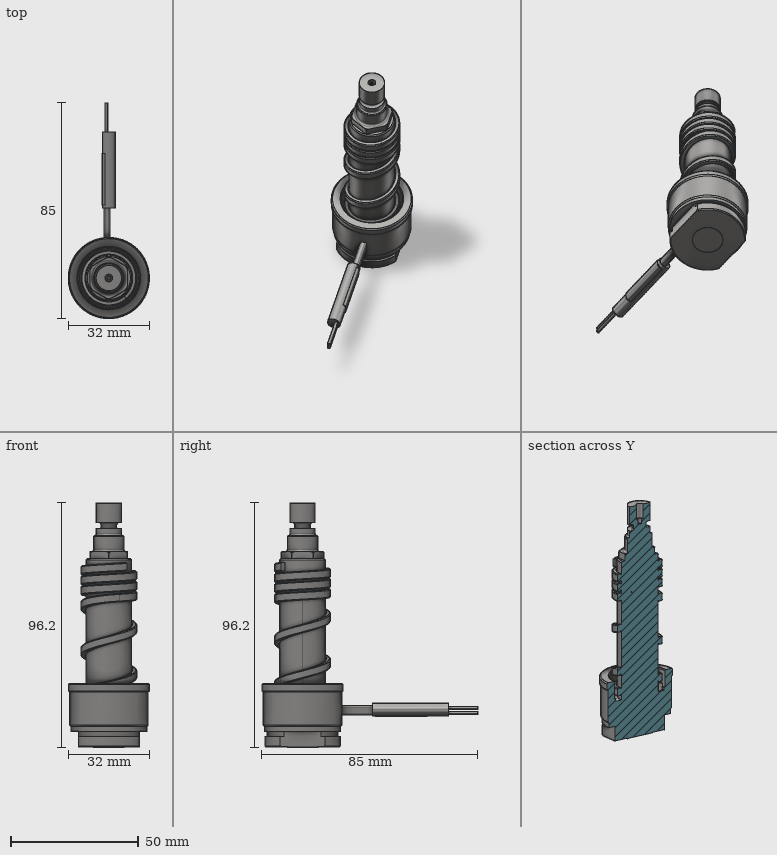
import cadquery as cq
import math

STEM_TOP = 96.2
NECK_TOP = 88.5
NECK_BOTTOM = 86.2
COLLAR_BOTTOM = 84.0
SHOULDER_BOTTOM = 77.1
HEX_BOTTOM = 74.3
CUP_TOP = 25.2
CUP_FLOOR = 16.8
RIM_BOTTOM = 22.3
DRUM_BOTTOM = 8.3
RING_BOTTOM = 6.3
FOOT_GROOVE_BOTTOM = 4.3
FOOT_BOTTOM = 0.2

HEAD_RADIUS = 5.0
NECK_RADIUS = 3.1
NECK_TOP_FILLET = 0.9
NECK_BOTTOM_FILLET = 0.3
COLLAR_FILLET = 0.6
SHOULDER_RADIUS = 6.0
SHOULDER_CHAMFER = 0.4
SHOULDER_FILLET = 0.8
HEX_ACROSS_FLATS = 14.7
HEX_CORNER_RADIUS = 8.4
HEX_CHAMFER = 0.4
TUBE_RADIUS = 9.0
TUBE_CHAMFER = 0.5
PORT_RADIUS = 1.5
PORT_DEPTH = 6.0
PILOT_RADIUS = 0.8
PILOT_DEPTH = 8.0

RIM_RADIUS = 16.0
RIM_CHAMFER = 0.5
DRUM_RADIUS = 15.5
DRUM_CHAMFER = 0.5
RING_RADIUS = 15.0
BORE_RADIUS = 12.1
SEAT_RADIUS = 11.6
SEAT_DEPTH = 1.0
BORE_CHAMFER = 0.4

FOOT_GROOVE_RADIUS = 14.0
FOOT_RADIUS = 14.9
FOOT_CHAMFER = 0.4
FOOT_FLAT_DISTANCE = 12.0
FOOT_BOSS_RADIUS = 6.0

SPRING_RADIUS = 11.0
ROOT_DEPTH = 0.5
SPRING_ROOT_RADIUS = TUBE_RADIUS - ROOT_DEPTH
STRIP_HEIGHT = 3.4
STRIP_CHAMFER = 0.4
OPEN_PITCH = 18.0
CLOSED_PITCH = 4.0
TRANSITION_TURN = 127.0
OPEN_START_ANGLE = -52.0
OPEN_END_ANGLE = 525.0
CLOSED_TOP_END_ANGLE = 1750.0
CLOSED_BOTTOM_TURN = 360.0
OPEN_START_HEIGHT = 26.2
DEGREES_PER_SPLINE_POINT = 15.0

LEAD_HEIGHT = 14.6
LEAD_OFFSET = -0.7
LEAD_START = 14.0
CABLE_WIDTH = 2.5
CABLE_HEIGHT = 3.8
CABLE_FILLET = 0.6
SLEEVE_RADIUS = 2.58
SLEEVE_HEIGHT = 14.9
SLEEVE_START = 27.5
SLEEVE_LENGTH = 30.0
COMPONENT_START = 28.8
COMPONENT_LENGTH = 20.2
COMPONENT_HEIGHT = 4.8
COMPONENT_LEFT = -2.6
COMPONENT_RIGHT = 0.6
COMPONENT_FILLET = 1.15
WIRE_RADIUS = 0.6
WIRE_SPACING = 2.0
WIRE_OFFSET = -1.0
WIRE_END = 69.0


def disc(radius, bottom, top):
    """Upright cylinder on the stem axis."""
    return cq.Workplane("XY").workplane(offset=bottom).circle(radius).extrude(top - bottom)


def flare(radius, seat, size, direction):
    """Concave fillet ring around a cylinder, from a seat face up (1) or down (-1) the axis."""
    end = seat + direction * size
    reach = size * math.sqrt(0.5)
    return (
        cq.Workplane("XZ")
        .moveTo(0, seat)
        .lineTo(radius + size, seat)
        .threePointArc((radius + size - reach, end - direction * reach), (radius, end))
        .lineTo(0, end)
        .close()
        .revolve(360, (0, 0), (0, 1))
    )


def make_port():
    """Blind stepped hole in the top of the stem."""
    port = disc(PORT_RADIUS, STEM_TOP - PORT_DEPTH, STEM_TOP)
    return port.union(disc(PILOT_RADIUS, STEM_TOP - PILOT_DEPTH, STEM_TOP))


def make_hexagon():
    """Spanner hexagon, flats facing +X and -X, with rounded corners chamfered at the top."""
    across_corners = HEX_ACROSS_FLATS / math.cos(math.radians(30))
    prism = (
        cq.Workplane("XY")
        .workplane(offset=HEX_BOTTOM)
        .transformed(rotate=(0, 0, 90))
        .polygon(6, across_corners)
        .extrude(SHOULDER_BOTTOM - HEX_BOTTOM)
    )
    blank = disc(HEX_CORNER_RADIUS, HEX_BOTTOM, SHOULDER_BOTTOM).faces(">Z").chamfer(HEX_CHAMFER)
    return prism.intersect(blank)


def make_stem():
    """Turned stem from the cup floor to its drilled head."""
    shoulder_top = COLLAR_BOTTOM - COLLAR_FILLET
    stem = disc(TUBE_RADIUS, CUP_FLOOR, HEX_BOTTOM).faces(">Z").chamfer(TUBE_CHAMFER)
    stem = stem.union(make_hexagon())
    stem = stem.union(
        disc(SHOULDER_RADIUS, HEX_BOTTOM, shoulder_top).faces(">Z").chamfer(SHOULDER_CHAMFER)
    )
    stem = stem.union(flare(SHOULDER_RADIUS, SHOULDER_BOTTOM, SHOULDER_FILLET, 1))
    stem = stem.union(disc(HEAD_RADIUS, shoulder_top, NECK_BOTTOM))
    stem = stem.union(flare(HEAD_RADIUS, shoulder_top, COLLAR_FILLET, 1))
    stem = stem.union(disc(NECK_RADIUS, NECK_BOTTOM, NECK_TOP))
    stem = stem.union(flare(NECK_RADIUS, NECK_BOTTOM, NECK_BOTTOM_FILLET, 1))
    stem = stem.union(flare(NECK_RADIUS, NECK_TOP, NECK_TOP_FILLET, -1))
    stem = stem.union(disc(HEAD_RADIUS, NECK_TOP, STEM_TOP))
    return stem.cut(make_port())


def make_cup():
    """Flanged cup, open at the top, with a plain ring below it."""
    cup = disc(RIM_RADIUS, RIM_BOTTOM - RIM_CHAMFER, CUP_TOP).faces("<Z or >Z").chamfer(RIM_CHAMFER)
    cup = cup.union(disc(DRUM_RADIUS, DRUM_BOTTOM, RIM_BOTTOM).faces("<Z").chamfer(DRUM_CHAMFER))
    cup = cup.union(disc(RING_RADIUS, RING_BOTTOM, DRUM_BOTTOM))
    bore = disc(BORE_RADIUS, CUP_FLOOR + SEAT_DEPTH, CUP_TOP)
    bore = bore.union(disc(SEAT_RADIUS, CUP_FLOOR, CUP_TOP))
    return cup.cut(bore).faces(">Z").edges(cq.selectors.RadiusNthSelector(0)).chamfer(BORE_CHAMFER)


def make_foot():
    """Grooved foot with a flat on each X side and a thin boss underneath."""
    foot = disc(FOOT_RADIUS, FOOT_BOTTOM, FOOT_GROOVE_BOTTOM).faces("<Z").chamfer(FOOT_CHAMFER)
    foot = foot.union(disc(FOOT_GROOVE_RADIUS, FOOT_GROOVE_BOTTOM, RING_BOTTOM))
    slab = cq.Workplane("XY").box(2 * FOOT_FLAT_DISTANCE, 2 * RIM_RADIUS, 2 * RING_BOTTOM)
    return foot.intersect(slab).union(disc(FOOT_BOSS_RADIUS, 0, FOOT_BOTTOM))


def spring_height(angle):
    """Mid-strip height at a turn angle; the pitch changes evenly through each transition."""
    beyond = max(OPEN_START_ANGLE - angle, angle - OPEN_END_ANGLE, 0.0)
    blended = min(beyond, TRANSITION_TURN)
    pitch_loss = (OPEN_PITCH - CLOSED_PITCH) * (beyond - blended / 2) * blended / TRANSITION_TURN
    sign = 1 if angle > OPEN_START_ANGLE else -1
    rise = OPEN_PITCH * (angle - OPEN_START_ANGLE) - sign * pitch_loss
    return OPEN_START_HEIGHT + rise / 360


def spring_edge(radius, shift, start, end):
    """One long edge of the spring strip between two turn angles."""
    steps = math.ceil((end - start) / DEGREES_PER_SPLINE_POINT)
    points = []
    for step in range(steps + 1):
        angle = start + (end - start) * step / steps
        turn = math.radians(angle)
        height = spring_height(angle) + shift
        points.append(cq.Vector(radius * math.cos(turn), radius * math.sin(turn), height))
    return cq.Edge.makeSpline(points)


def make_spring():
    """Flat strip wound around the tube, close-wound at both ends and open between them."""
    closed_bottom_end = OPEN_START_ANGLE - TRANSITION_TURN
    closed_top_start = OPEN_END_ANGLE + TRANSITION_TURN
    stations = [
        closed_bottom_end - CLOSED_BOTTOM_TURN,
        closed_bottom_end,
        OPEN_START_ANGLE,
        OPEN_END_ANGLE,
        closed_top_start,
        CLOSED_TOP_END_ANGLE,
    ]
    half = STRIP_HEIGHT / 2
    shoulder = half - STRIP_CHAMFER
    upper_corners = [
        (SPRING_RADIUS, shoulder),
        (SPRING_RADIUS - STRIP_CHAMFER, half),
        (TUBE_RADIUS + STRIP_CHAMFER, half),
        (SPRING_ROOT_RADIUS, shoulder - ROOT_DEPTH),
    ]
    lower_corners = [(radius, -shift) for radius, shift in reversed(upper_corners)]
    corners = upper_corners + lower_corners
    faces = []
    for start, end in zip(stations, stations[1:]):
        rails = [spring_edge(radius, shift, start, end) for radius, shift in corners]
        faces += [cq.Face.makeRuledSurface(rails[i - 1], rails[i]) for i in range(len(rails))]
    for angle in (stations[0], stations[-1]):
        turn = math.radians(angle)
        ring = [
            cq.Vector(radius * math.cos(turn), radius * math.sin(turn), spring_height(angle) + shift)
            for radius, shift in corners
        ]
        faces.append(cq.Face.makeFromWires(cq.Wire.makePolygon(ring, close=True)))
    solid = cq.Solid.makeSolid(cq.Shell.makeShell(faces))
    return cq.Workplane(solid.fix())


def rod_plane(offset_x, start, height):
    """Sketch plane facing +Y: local x points to -X and local y to +Z."""
    return cq.Workplane(cq.Plane((offset_x, start, height), (-1, 0, 0), (0, 1, 0)))


def make_lead():
    """Cable, round sleeve, the component bulging out of its -X side and the two wires."""
    sleeve_end = SLEEVE_START + SLEEVE_LENGTH
    cable = (
        rod_plane(LEAD_OFFSET, LEAD_START, LEAD_HEIGHT)
        .rect(CABLE_WIDTH, CABLE_HEIGHT)
        .extrude(SLEEVE_START - LEAD_START)
        .edges("|Y")
        .fillet(CABLE_FILLET)
    )
    sleeve = (
        rod_plane(0, SLEEVE_START, SLEEVE_HEIGHT)
        .circle(SLEEVE_RADIUS)
        .extrude(SLEEVE_LENGTH)
    )
    component = (
        rod_plane((COMPONENT_LEFT + COMPONENT_RIGHT) / 2, COMPONENT_START, LEAD_HEIGHT)
        .rect(COMPONENT_RIGHT - COMPONENT_LEFT, COMPONENT_HEIGHT)
        .extrude(COMPONENT_LENGTH)
        .edges("|Y")
        .fillet(COMPONENT_FILLET)
    )
    wires = (
        rod_plane(WIRE_OFFSET, sleeve_end, LEAD_HEIGHT)
        .rarray(1, WIRE_SPACING, 1, 2)
        .circle(WIRE_RADIUS)
        .extrude(WIRE_END - sleeve_end)
    )
    return cable.union(sleeve).union(component).union(wires)


result = make_stem().union(make_cup()).union(make_foot()).union(make_spring()).union(make_lead())